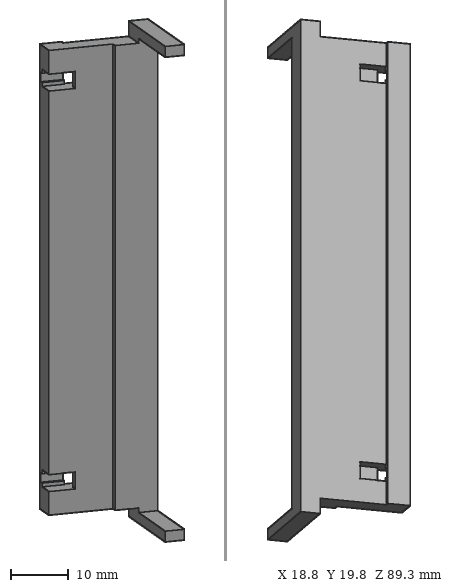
import cadquery as cq

width = 18.8
depth = 19.8
height = 89.3

lip_step = 0.8
lip_depth = 4.1
plate_inner_x = 4.6
rib_inner_x = 5.7
rib_reach = 7.95
plate_end_gap = 2.8

arm_depth = 3.6
arm_thickness = 2.0

recess_height = 3.0
recess_end_distance = 8.6
notch_outer_x = 1.3
notch_depth = 4.9
relief_outer_x = 0.7
relief_height = 1.7
window_floor_x = 3.2
window_back_y = 8.9


def box(x_range, y_range, z_range):
    """Axis-aligned box spanning the given (low, high) ranges."""
    (x0, x1), (y0, y1), (z0, z1) = x_range, y_range, z_range
    return cq.Workplane("XY").box(x1 - x0, y1 - y0, z1 - z0, centered=False).translate((x0, y0, z0))


def plate():
    """Stepped cross-section extruded along the height."""
    outline = [
        (0, 0),
        (plate_inner_x, 0),
        (plate_inner_x, depth - rib_reach),
        (rib_inner_x, depth - rib_reach),
        (rib_inner_x, depth),
        (lip_step, depth),
        (lip_step, lip_depth),
        (0, lip_depth),
    ]
    plate_height = height - 2 * plate_end_gap
    return cq.Workplane("XY").workplane(offset=plate_end_gap).polyline(outline).close().extrude(plate_height)


def back_frame():
    """C-shaped strip joining the two end arms along the back edge."""
    back_range = (depth - arm_depth, depth)
    strip = box((lip_step, width), back_range, (0, height))
    opening = box((rib_inner_x, width), back_range, (arm_thickness, height - arm_thickness))
    return strip.cut(opening)


def clip_recess(center_z):
    """Window from the outer face, joined to a notch open at the front and inner faces.

    A narrow relief in the lip widens the middle of the notch toward the outer face.
    """
    recess_z = (center_z - recess_height / 2, center_z + recess_height / 2)
    relief_z = (center_z - relief_height / 2, center_z + relief_height / 2)
    notch = box((notch_outer_x, plate_inner_x), (0, notch_depth), recess_z)
    window = box((lip_step, window_floor_x), (lip_depth, window_back_y), recess_z)
    relief = box((relief_outer_x, notch_outer_x), (0, lip_depth), relief_z)
    return notch.union(window).union(relief)


result = plate().union(back_frame())
for center_z in (recess_end_distance, height - recess_end_distance):
    result = result.cut(clip_recess(center_z))